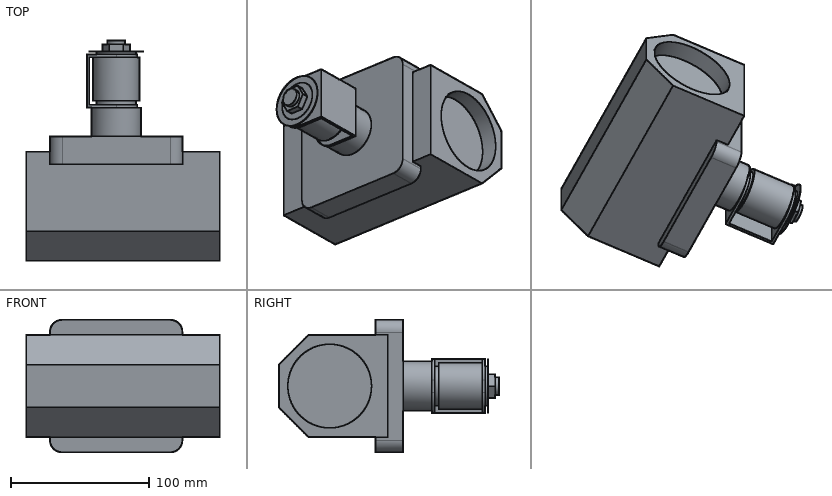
import cadquery as cq
import math

block_length = 140.0
block_depth = 78.9
block_height = 74.0
block_chamfer = 21.5

port_radius = 30.3
port_depth = 12.5
port_y = 36.8

flange_size = 96.0
flange_thickness = 20.1
flange_back_y = 89.9
flange_corner_radius = 9.0

stem_x = -5.0
boss_radius = 18.0
boss_length = 20.9
neck_radius = 14.3
neck_length = 2.7
barrel_radius = 16.9
barrel_length = 31.5
collar_length = 1.9
washer_radius = 19.5
washer_thickness = 0.5
nut_across_flats = 17.4
nut_thickness = 5.0
stud_radius = 6.5
overall_depth = 159.4

sheet_thickness = 2.0
web_thickness = 1.8
bracket_height = 39.2
bracket_left_reach = 21.2
bracket_right_reach = 15.3
bracket_corner_radius = 15.1

boss_end_y = flange_back_y + boss_length
neck_start_y = boss_end_y + sheet_thickness
barrel_start_y = neck_start_y + neck_length
barrel_end_y = barrel_start_y + barrel_length
collar_start_y = barrel_end_y + sheet_thickness
washer_start_y = collar_start_y + collar_length
nut_start_y = washer_start_y + washer_thickness


def stem_plane(y):
    """Plane across the stem axis at station y, with its normal along +Y."""
    return cq.Workplane(cq.Plane(origin=(stem_x, y, 0), xDir=(1, 0, 0), normal=(0, 1, 0)))


def disc(y, radius, length):
    return stem_plane(y).circle(radius).extrude(length)


def make_block():
    block = (
        cq.Workplane("XY")
        .box(block_length, block_depth, block_height)
        .translate((0, block_depth / 2, 0))
        .faces("<Y").edges("|X").chamfer(block_chamfer)
    )
    port = (
        cq.Workplane("YZ", origin=(-block_length / 2, 0, 0))
        .center(port_y, 0)
        .circle(port_radius)
        .extrude(port_depth)
    )
    return block.cut(port).cut(port.mirror("YZ"))


def make_flange():
    return (
        stem_plane(flange_back_y - flange_thickness)
        .rect(flange_size, flange_size)
        .extrude(flange_thickness)
        .edges("|Y").fillet(flange_corner_radius)
    )


def make_stem():
    nut_across_corners = nut_across_flats / math.cos(math.pi / 6)
    nut = stem_plane(nut_start_y).polygon(6, nut_across_corners).extrude(nut_thickness)
    return (
        disc(flange_back_y, stud_radius, overall_depth - flange_back_y)
        .union(disc(flange_back_y, boss_radius, boss_length))
        .union(disc(neck_start_y, neck_radius, neck_length))
        .union(disc(barrel_start_y, barrel_radius, barrel_length))
        .union(disc(collar_start_y, neck_radius, collar_length))
        .union(disc(washer_start_y, washer_radius, washer_thickness))
        .union(nut)
    )


def make_housing():
    return make_block().union(make_flange()).union(make_stem())


def make_bracket():
    width = bracket_left_reach + bracket_right_reach
    length = collar_start_y - boss_end_y
    center_x = (bracket_right_reach - bracket_left_reach) / 2
    bracket = (
        stem_plane(boss_end_y)
        .center(center_x, 0)
        .rect(width, bracket_height)
        .extrude(length)
        .edges("|Y and >X").fillet(bracket_corner_radius)
    )
    opening = (
        stem_plane(neck_start_y)
        .center(center_x + web_thickness, 0)
        .rect(width, bracket_height)
        .extrude(length - 2 * sheet_thickness)
    )
    stud_hole = disc(boss_end_y, stud_radius, length)
    return bracket.cut(opening).cut(stud_hole)


housing = make_housing()
bracket = make_bracket()
result = cq.Compound.makeCompound([housing.val(), bracket.val()])